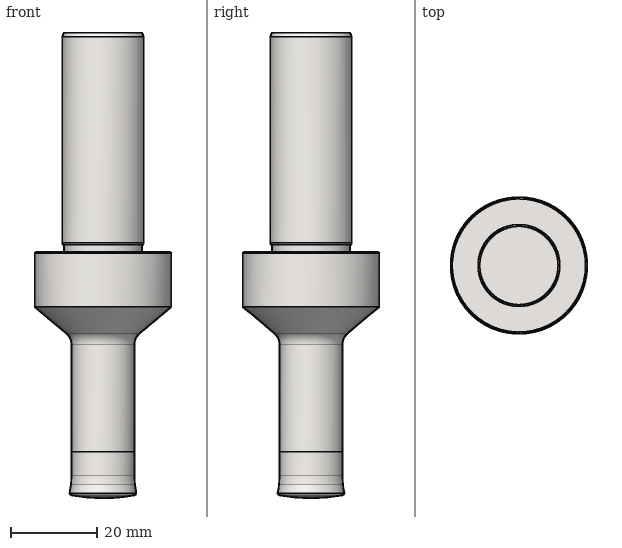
import cadquery as cq
import math

total_length = 108.1
head_length = 10.8
collar_bottom = 44.4
collar_top = 57.3
shank_bottom = 58.8
cone_height = 6.2

shank_radius = 9.5
relief_radius = 9.1
collar_radius = 15.9
neck_radius = 7.3

shank_top_chamfer_width = 0.4
shank_top_chamfer_height = 1.0
shank_bottom_chamfer_width = 0.2
shank_bottom_chamfer_height = 0.5
collar_chamfer = 0.4
cone_angle = math.radians(50)
neck_fillet_radius = 3.2

flare_start = 5.4
flare_end = 3.2
flare_width = 0.1
rim_height = 1.2
rim_radius = 7.8
corner_radius = 0.9
dome_rise = 0.6
dome_radius = 7.0


def revolve_profile(profile):
    """Turn a closed radius-height outline about the Z axis."""
    return profile.close().revolve(360, (0, 0, 0), (0, 1, 0))


def make_holder():
    """Shank, relief groove, collar, cone and upper neck as one turned solid."""
    fillet_top = collar_bottom - cone_height
    fillet_bottom = fillet_top - neck_fillet_radius * math.sin(cone_angle)
    cone_end_radius = neck_radius + neck_fillet_radius * (1 - math.cos(cone_angle))
    fillet_middle = (
        neck_radius + neck_fillet_radius * (1 - math.cos(cone_angle / 2)),
        fillet_bottom + neck_fillet_radius * math.sin(cone_angle / 2),
    )
    profile = (
        cq.Workplane("XZ")
        .moveTo(0, head_length)
        .lineTo(neck_radius, head_length)
        .lineTo(neck_radius, fillet_bottom)
        .threePointArc(fillet_middle, (cone_end_radius, fillet_top))
        .lineTo(collar_radius, collar_bottom)
        .lineTo(collar_radius, collar_top - collar_chamfer)
        .lineTo(collar_radius - collar_chamfer, collar_top)
        .lineTo(relief_radius, collar_top)
        .lineTo(relief_radius, shank_bottom)
        .lineTo(shank_radius - shank_bottom_chamfer_width, shank_bottom)
        .lineTo(shank_radius, shank_bottom + shank_bottom_chamfer_height)
        .lineTo(shank_radius, total_length - shank_top_chamfer_height)
        .lineTo(shank_radius - shank_top_chamfer_width, total_length)
        .lineTo(0, total_length)
    )
    return revolve_profile(profile)


def make_cutting_head():
    """Lower neck flaring to the cutting rim, with a shallow domed end."""
    sphere_radius = (dome_radius**2 + dome_rise**2) / (2 * dome_rise)
    middle_radius = dome_radius / 2
    dome_middle = (middle_radius, sphere_radius - math.sqrt(sphere_radius**2 - middle_radius**2))
    flare_height = flare_start - flare_end
    flare_radius = (flare_height**2 + flare_width**2) / (2 * flare_width)
    flare_drop = flare_height / 2
    flare_middle = (
        neck_radius + flare_radius - math.sqrt(flare_radius**2 - flare_drop**2),
        flare_start - flare_drop,
    )
    profile = (
        cq.Workplane("XZ")
        .threePointArc(dome_middle, (dome_radius, dome_rise))
        .radiusArc((rim_radius, rim_height), -corner_radius)
        .lineTo(neck_radius + flare_width, flare_end)
        .threePointArc(flare_middle, (neck_radius, flare_start))
        .lineTo(neck_radius, head_length)
        .lineTo(0, head_length)
    )
    return revolve_profile(profile)


holder = make_holder()
cutting_head = make_cutting_head()
result = cq.Compound.makeCompound([holder.val(), cutting_head.val()])